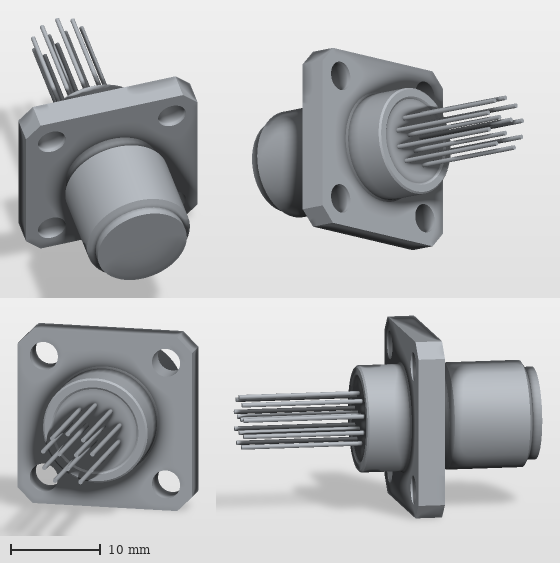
import cadquery as cq
import math

length = 33.5
rear_x = 13.5
flange_rear_x = 18.5
flange_thickness = 3.0
flange_front_x = flange_rear_x + flange_thickness
body_start_x = 22.95
nose_start_x = 32.5

flange_side = 20.0
flange_corner_cut = 1.7
mount_hole_diameter = 3.2
mount_hole_spacing = 14.0

body_radius = 12.0 / 2
neck_radius = 10.72 / 2
neck_groove_radius = 10.62 / 2
nose_radius = 10.4 / 2
edge_chamfer = 0.2
collar_step = 0.2
body_rear_chamfer_length = 0.47
body_front_chamfer_length = 0.5
neck_groove_start_x = 21.78
neck_groove_end_x = 22.78

recess_mouth_radius = 5.0
recess_floor_radius = 4.75
recess_depth = 0.2

pin_diameter = 0.5
outer_ring_radius = 2.9
outer_pin_count = 9
outer_pin_pitch = 37.5
inner_ring_radius = 1.1
inner_pin_count = 3
inner_pin_pitch = 360 / inner_pin_count


def make_turned_body():
    """Revolve the stepped barrel around the X axis."""
    recess_floor_x = rear_x + recess_depth
    profile = [
        (recess_floor_x, 0),
        (recess_floor_x, recess_floor_radius),
        (rear_x, recess_mouth_radius),
        (rear_x, body_radius - edge_chamfer),
        (rear_x + edge_chamfer, body_radius),
        (flange_rear_x - collar_step, body_radius),
        (flange_rear_x, body_radius + collar_step),
        (flange_front_x, body_radius + collar_step),
        (flange_front_x, neck_radius),
        (neck_groove_start_x, neck_groove_radius),
        (neck_groove_end_x, neck_groove_radius),
        (body_start_x, neck_radius),
        (body_start_x + body_rear_chamfer_length, body_radius),
        (nose_start_x - body_front_chamfer_length, body_radius),
        (nose_start_x, nose_radius),
        (length, nose_radius),
        (length, 0),
    ]
    return cq.Workplane("XY").polyline(profile).close().revolve(360, (0, 0), (1, 0))


def make_flange():
    """Square plate with cut corners and four mounting holes."""
    return (
        cq.Workplane("YZ", origin=(flange_rear_x, 0, 0))
        .rect(flange_side, flange_side)
        .extrude(flange_thickness)
        .edges("|X")
        .chamfer(flange_corner_cut)
        .faces("<X")
        .workplane(origin=(0, 0, 0))
        .rect(mount_hole_spacing, mount_hole_spacing, forConstruction=True)
        .vertices()
        .hole(mount_hole_diameter)
    )


def ring_points(radius, count, pitch, middle_angle):
    """Points (Y, Z) spaced by pitch degrees, symmetric about middle_angle."""
    points = []
    for index in range(count):
        angle = math.radians(middle_angle + (index - (count - 1) / 2) * pitch)
        points.append((radius * math.cos(angle), radius * math.sin(angle)))
    return points


def make_pins():
    """Straight pins from the tips at X = 0 into the barrel."""
    top = 90
    bottom = -90
    points = ring_points(outer_ring_radius, outer_pin_count, outer_pin_pitch, top)
    points += ring_points(inner_ring_radius, inner_pin_count, inner_pin_pitch, bottom)
    return cq.Workplane("YZ").pushPoints(points).circle(pin_diameter / 2).extrude(flange_rear_x)


result = make_turned_body().union(make_flange()).union(make_pins())